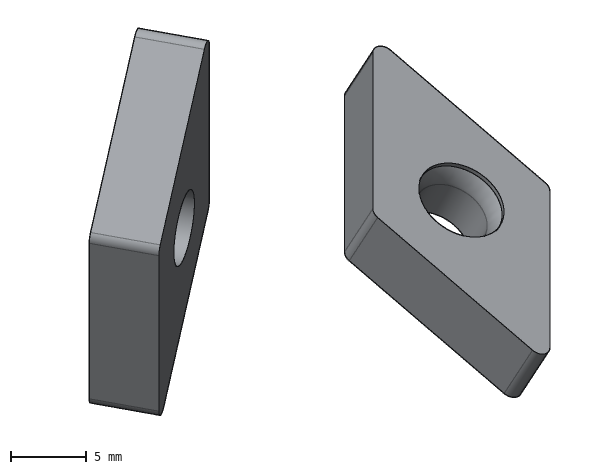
import cadquery as cq
import math

length = 22.92
width = 12.7
thickness = 4.77
acute_angle = math.radians(55)
bore_diameter = 5.15
mouth_diameter = 6.1
mouth_depth = 0.32
flare_end_depth = 1.72

side = width / math.sin(acute_angle)
incline_rise = width / math.tan(acute_angle)
acute_tip_z = (side + incline_rise) / 2
obtuse_tip_z = (side - incline_rise) / 2

corner_radius = (acute_tip_z - length / 2) / (1 / math.tan(acute_angle / 2) - 1)


def insert_body():
    corners = [
        (width / 2, acute_tip_z),
        (width / 2, -obtuse_tip_z),
        (-width / 2, -acute_tip_z),
        (-width / 2, obtuse_tip_z),
    ]
    body = cq.Workplane("YZ").polyline(corners).close().extrude(thickness / 2, both=True)
    return body.edges("|X").fillet(corner_radius)


def hole_cutter():
    """Through hole along X: a short cylindrical mouth, an arc flare tangent to the bore, then the bore."""
    bore_radius = bore_diameter / 2
    mouth_radius = mouth_diameter / 2
    flare_depth = flare_end_depth - mouth_depth
    flare_step = mouth_radius - bore_radius
    flare_radius = (flare_depth**2 + flare_step**2) / (2 * flare_step)
    half_angle = math.asin(flare_depth / flare_radius) / 2

    face_x = -thickness / 2
    flare_start_x = face_x + mouth_depth
    flare_end_x = face_x + flare_end_depth
    arc_mid_x = flare_end_x - flare_radius * math.sin(half_angle)
    arc_mid_radius = bore_radius + flare_radius * (1 - math.cos(half_angle))

    profile = (
        cq.Workplane("XY")
        .moveTo(face_x, 0)
        .lineTo(face_x, mouth_radius)
        .lineTo(flare_start_x, mouth_radius)
        .threePointArc((arc_mid_x, arc_mid_radius), (flare_end_x, bore_radius))
        .lineTo(thickness / 2, bore_radius)
        .lineTo(thickness / 2, 0)
        .close()
    )
    return profile.revolve(360, (0, 0, 0), (1, 0, 0))


result = insert_body().cut(hole_cutter())